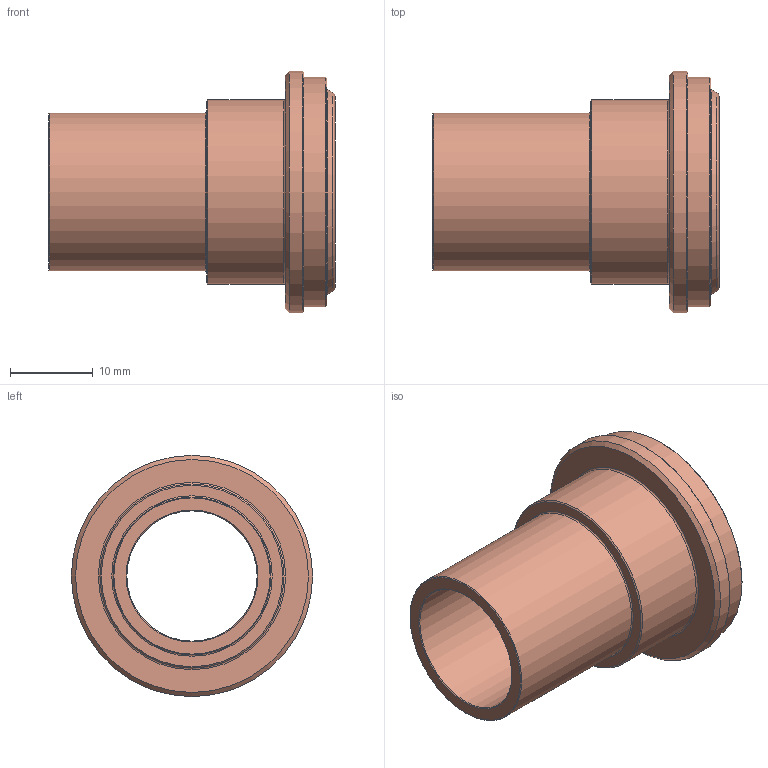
import math

import cadquery as cq

total_length = 34.5
tube_end = 19.0
collar_end = 28.5
flange_end = 30.7
spigot_end = 33.5

bore_diameter = 15.7
tube_diameter = 19.05
collar_diameter = 22.2
flange_diameter = 29.1
spigot_diameter = 27.7

nose_base_diameter = 24.8
nose_half_angle = 30.0
nose_taper = (total_length - spigot_end) * math.tan(math.radians(nose_half_angle))
nose_tip_diameter = nose_base_diameter - 2 * nose_taper

flange_chamfer = 0.5
edge_chamfer = 0.1
shoulder_chamfer = 0.15
tube_fillet = 0.15
shoulder_fillet = 0.2
nose_tip_fillet = 0.5

position_tolerance = 0.001


def make_stepped_sleeve():
    """Sharp-edged sleeve revolved about X from its half section."""
    half_section = [
        (0, bore_diameter / 2),
        (0, tube_diameter / 2),
        (tube_end, tube_diameter / 2),
        (tube_end, collar_diameter / 2),
        (collar_end, collar_diameter / 2),
        (collar_end, flange_diameter / 2),
        (flange_end, flange_diameter / 2),
        (flange_end, spigot_diameter / 2),
        (spigot_end, spigot_diameter / 2),
        (spigot_end, nose_base_diameter / 2),
        (total_length, nose_tip_diameter / 2),
        (total_length, bore_diameter / 2),
    ]
    return cq.Workplane("XY").polyline(half_section).close().revolve(360, (0, 0, 0), (1, 0, 0))


def circular_edge(sleeve, position, diameter):
    """Select the circular edge with the given axial position and diameter."""
    matches = [
        edge
        for edge in sleeve.edges("%CIRCLE").vals()
        if abs(edge.arcCenter().x - position) < position_tolerance
        and abs(edge.radius() - diameter / 2) < position_tolerance
    ]
    return sleeve.newObject(matches)


def break_outer_edges(sleeve):
    """Chamfer the sharp corners of the steps and the mouth of the bore."""
    chamfers = [
        (0, bore_diameter, edge_chamfer),
        (0, tube_diameter, edge_chamfer),
        (tube_end, collar_diameter, shoulder_chamfer),
        (collar_end, flange_diameter, flange_chamfer),
        (flange_end, flange_diameter, edge_chamfer),
        (spigot_end, spigot_diameter, shoulder_chamfer),
    ]
    for position, diameter, size in chamfers:
        sleeve = circular_edge(sleeve, position, diameter).chamfer(size)
    return sleeve


def round_corners(sleeve):
    """Fillet the inner corners at the shoulders and the tip of the nose."""
    fillets = [
        (tube_end, tube_diameter, tube_fillet),
        (collar_end, collar_diameter, shoulder_fillet),
        (spigot_end, nose_base_diameter, shoulder_fillet),
        (total_length, nose_tip_diameter, nose_tip_fillet),
    ]
    for position, diameter, radius in fillets:
        sleeve = circular_edge(sleeve, position, diameter).fillet(radius)
    return sleeve


result = round_corners(break_outer_edges(make_stepped_sleeve()))